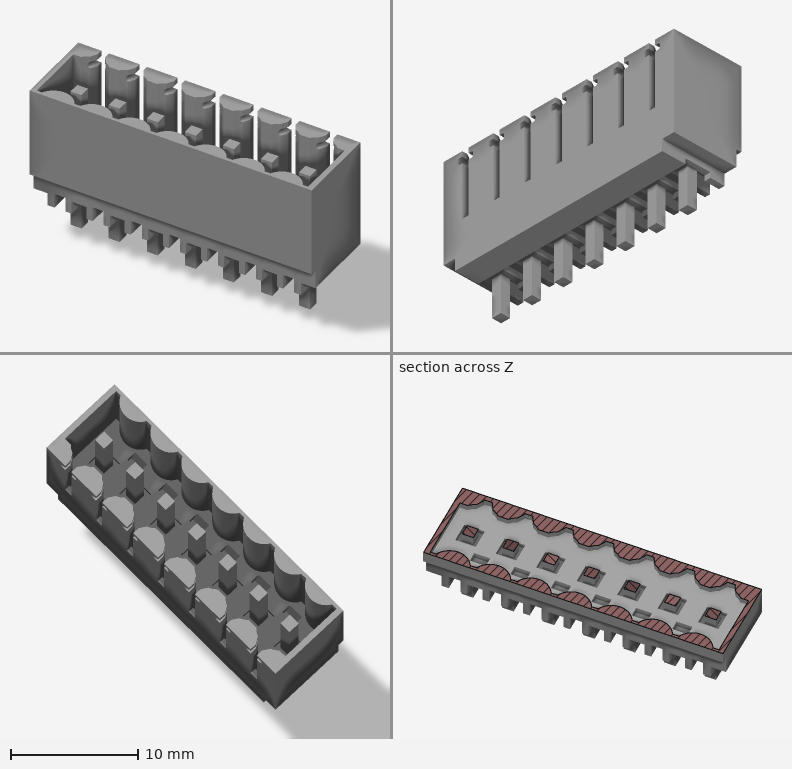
import cadquery as cq


WIDTH = 25.9
DEPTH = 7.45
TOP_Z = 14.25
BODY_BOTTOM_Z = 4.35
FRONT_STEP = 0.57
FRONT_STEP_Z = 6.05

FOOT_BOTTOM_Z = 3.19
FOOT_END_INSET = 1.32
GROOVE_TOP_Z = 3.73
GROOVE_FRONT_Y = 2.15
GROOVE_BACK_Y = 4.9

PIN_COUNT = 7
PITCH = 3.5
PIN_SIZE = 1.0
PIN_Y = 3.52
PIN_TOP_Z = 13.0
PIN_SLOT_TOP_Z = 4.53
PIN_RECESS_SIZE = 1.75
PIN_RECESS_DEPTH = 0.4

FLOOR_Z = 6.6
END_WALL = 0.5
FRONT_WALL = 0.28
LOBE_FRONT_Y = DEPTH - 1.55
FRONT_LOBE_RADIUS = 1.65
FRONT_LOBE_TOP_Y = 1.2

BAY_MOUTH_WIDTH = 2.6
BAY_WAIST_WIDTH = 1.4
BAY_WAIST_Y = DEPTH - 1.15
BAY_ARC_RADIUS = 1.75
BAY_NECK_WIDTH = 0.7
BAY_NECK_Y = DEPTH - 0.57
BACK_WALL = 0.47

SLIT_SILL_Z = 7.77
KEY_SLOT_WIDTH = 1.74
KEY_SLOT_HEIGHT = 0.62
KEY_SLOT_CORNER_RADIUS = 0.23
KEY_SLOT_BOTTOM_Z = 13.1

POCKET_WIDTH = 1.37
RAMP_RECESS_DEPTH = 0.52
RAMP_FRONT_Y = 1.15
RAMP_BACK_Y = 1.6
RAMP_RECESS_BACK_Y = 2.0

PIN_XS = [(i - (PIN_COUNT - 1) / 2) * PITCH for i in range(PIN_COUNT)]
GAP_XS = [x + PITCH / 2 for x in PIN_XS[:-1]]


def block(x_mid, width, y0, y1, z0, z1):
    """Box centred on x_mid in X, spanning y0..y1 and z0..z1."""
    return (
        cq.Workplane("XY")
        .box(width, y1 - y0, z1 - z0, centered=(True, False, False))
        .translate((x_mid, y0, z0))
    )


def outer_shape():
    """Body with its stepped front, on a narrower foot with a lengthwise groove."""
    upper = block(0, WIDTH, 0, DEPTH, FRONT_STEP_Z, TOP_Z)
    lower = block(0, WIDTH, FRONT_STEP, DEPTH, BODY_BOTTOM_Z, FRONT_STEP_Z)
    foot = block(0, WIDTH - 2 * FOOT_END_INSET, FRONT_STEP, DEPTH, FOOT_BOTTOM_Z, BODY_BOTTOM_Z)
    groove = block(0, WIDTH, GROOVE_FRONT_Y, GROOVE_BACK_Y, FOOT_BOTTOM_Z, GROOVE_TOP_Z)
    return upper.union(lower).union(foot).cut(groove)


def bay(x):
    """Space between two rear lobes: concave flanks, then a taper to a narrow neck."""
    mouth, waist, neck = BAY_MOUTH_WIDTH / 2, BAY_WAIST_WIDTH / 2, BAY_NECK_WIDTH / 2
    return (
        cq.Workplane("XY")
        .workplane(offset=FLOOR_Z)
        .moveTo(-mouth, LOBE_FRONT_Y)
        .radiusArc((-waist, BAY_WAIST_Y), BAY_ARC_RADIUS)
        .lineTo(-neck, BAY_NECK_Y)
        .lineTo(-neck, DEPTH - BACK_WALL)
        .lineTo(neck, DEPTH - BACK_WALL)
        .lineTo(neck, BAY_NECK_Y)
        .lineTo(waist, BAY_WAIST_Y)
        .radiusArc((mouth, LOBE_FRONT_Y), BAY_ARC_RADIUS)
        .close()
        .extrude(TOP_Z - FLOOR_Z)
        .translate((x, 0, 0))
    )


def cavity():
    """Open-topped space with round lobes along the front and bays along the back."""
    space = block(0, WIDTH - 2 * END_WALL, FRONT_WALL, LOBE_FRONT_Y, FLOOR_Z, TOP_Z)
    lobes = (
        cq.Workplane("XY")
        .workplane(offset=FLOOR_Z)
        .pushPoints([(x, FRONT_LOBE_TOP_Y - FRONT_LOBE_RADIUS) for x in PIN_XS])
        .circle(FRONT_LOBE_RADIUS)
        .extrude(TOP_Z - FLOOR_Z)
    )
    space = space.cut(lobes)
    for x in PIN_XS:
        space = space.union(bay(x))
    return space


def keyway(x):
    """Open-topped slit through the back wall, crossed by a wider round-cornered slot near the top."""
    slit = block(x, BAY_NECK_WIDTH, BAY_NECK_Y, DEPTH, SLIT_SILL_Z, TOP_Z)
    slot_top_z = KEY_SLOT_BOTTOM_Z + KEY_SLOT_HEIGHT
    slot = block(x, KEY_SLOT_WIDTH, LOBE_FRONT_Y, DEPTH, KEY_SLOT_BOTTOM_Z, slot_top_z)
    return slit.union(slot.edges("|Y").fillet(KEY_SLOT_CORNER_RADIUS))


def ramp_recess(x):
    """Recess in the cavity floor whose front side is a ramp."""
    recess_z = FLOOR_Z - RAMP_RECESS_DEPTH
    return (
        cq.Workplane("YZ", origin=(x - POCKET_WIDTH / 2, 0, 0))
        .moveTo(RAMP_FRONT_Y, FLOOR_Z)
        .lineTo(RAMP_BACK_Y, recess_z)
        .lineTo(RAMP_RECESS_BACK_Y, recess_z)
        .lineTo(RAMP_RECESS_BACK_Y, FLOOR_Z)
        .close()
        .extrude(POCKET_WIDTH)
    )


def pin(x):
    """Straight square pin."""
    return block(x, PIN_SIZE, PIN_Y - PIN_SIZE / 2, PIN_Y + PIN_SIZE / 2, 0, PIN_TOP_Z)


def pin_seat(x):
    """Hole for one pin, the square recess around it and the slot leading to it from the front."""
    half = PIN_RECESS_SIZE / 2
    recess = block(x, PIN_RECESS_SIZE, PIN_Y - half, PIN_Y + half, FLOOR_Z - PIN_RECESS_DEPTH, FLOOR_Z)
    slot = block(x, PIN_SIZE, FRONT_STEP, PIN_Y, FOOT_BOTTOM_Z, PIN_SLOT_TOP_Z)
    return pin(x).union(recess).union(slot)


def make_housing():
    """Socket housing with seats for all the pins."""
    body = outer_shape().cut(cavity())
    for x in PIN_XS:
        body = body.cut(keyway(x)).cut(pin_seat(x))
    for x in GAP_XS:
        foot_pocket = block(x, POCKET_WIDTH, FRONT_STEP, GROOVE_BACK_Y, FOOT_BOTTOM_Z, BODY_BOTTOM_Z)
        body = body.cut(foot_pocket).cut(ramp_recess(x))
    return body


housing = make_housing()
pins = [pin(x) for x in PIN_XS]

result = cq.Compound.makeCompound([housing.val(), *[p.val() for p in pins]])